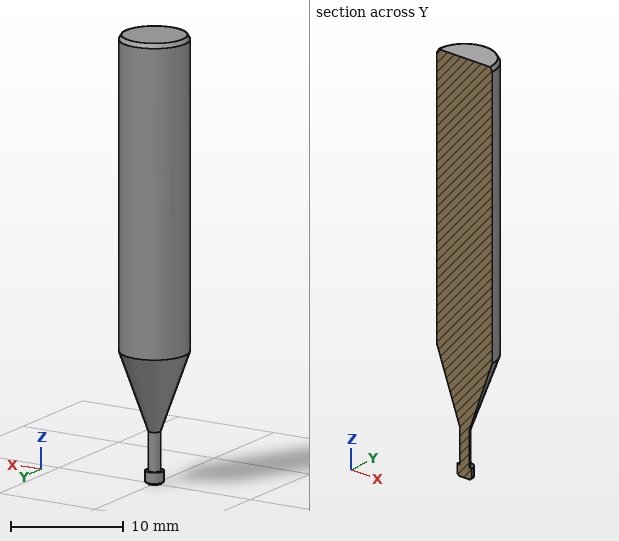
import cadquery as cq

total_length = 41.3
shank_diameter = 6.35
shank_start = 12.22

bevel_height = 0.4
bevel_width = 0.25

neck_diameter = 1.1
neck_start = 1.2
neck_end = 4.85

head_diameter = 1.7
tip_diameter = 1.15
tip_bevel_height = 0.2

shank_radius = shank_diameter / 2
neck_radius = neck_diameter / 2
head_radius = head_diameter / 2
tip_radius = tip_diameter / 2

half_section = (
    cq.Workplane("XZ")
    .lineTo(tip_radius, 0)
    .lineTo(head_radius, tip_bevel_height)
    .lineTo(head_radius, neck_start)
    .lineTo(neck_radius, neck_start)
    .lineTo(neck_radius, neck_end)
    .lineTo(shank_radius, shank_start)
    .lineTo(shank_radius, total_length - bevel_height)
    .lineTo(shank_radius - bevel_width, total_length)
    .lineTo(0, total_length)
    .close()
)

result = half_section.revolve(360, (0, 0, 0), (0, 1, 0))